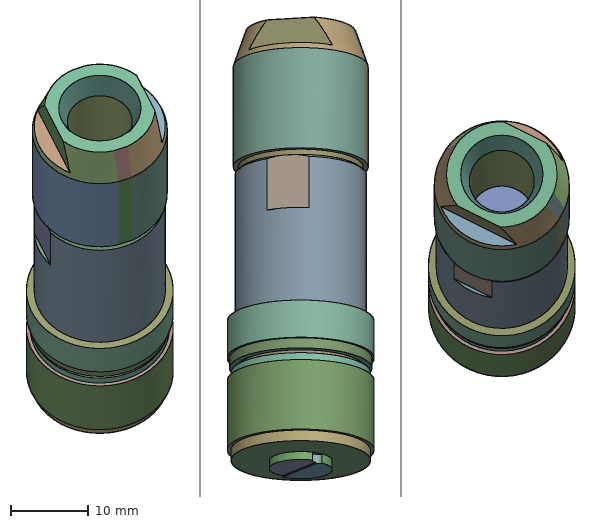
import cadquery as cq
import math

insert_end_z = 0.0
ring_bottom_z = 1.25
ring_grip_bottom_z = 2.65
ring_grip_top_z = 12.05
ring_top_z = 13.1
collar_bottom_z = 13.7
collar_step_z = 15.05
collar_top_z = 20.05
barrel_flat_z = 32.85
barrel_chamfer_z = 39.75
barrel_top_z = 40.1
nut_bottom_z = 40.8
nut_cone_z = 54.35
top_z = 59.0

grip_radius = 9.5
ring_end_radius = 9.0
insert_radius = 4.1
neck_radius = 8.3
collar_step_radius = 9.2
barrel_radius = 8.5
groove_radius = 8.1
nut_radius = 8.75
nut_top_radius = 7.15
cable_hole_radius = 4.2
cable_mouth_radius = 5.3

barrel_flat_y = 8.0
nut_flat_y = 6.45
nut_flat_depth = 3.9
side_strip_width = 1.9
cable_mouth_depth = 2.9
insert_step = 0.2
insert_split_angle = -43.0
keyway_radius = 0.7
keyway_angle = 134.0

cut_size = 2 * grip_radius


def turned(profile):
    """Revolve a closed (radius, height) profile about the Z axis."""
    return cq.Workplane("XZ").polyline(profile).close().revolve(360, (0, 0, 0), (0, 1, 0))


def flat_cutter(distance, bottom_z, height):
    """Two blocks that leave flats at y = -distance and y = +distance."""
    block = cq.Workplane("XY").box(cut_size, cut_size, height, centered=(True, False, False))
    block = block.translate((0, distance, bottom_z))
    return block.union(block.mirror("XZ"))


def side_strip_cutter():
    """Two blocks that leave narrow flat strips along the nut's cylinder and cone."""
    half_width = side_strip_width / 2
    lower_x = math.sqrt(nut_radius**2 - half_width**2)
    upper_x = math.sqrt(nut_top_radius**2 - half_width**2)
    outline = [
        (lower_x, nut_bottom_z),
        (lower_x, nut_cone_z),
        (upper_x, top_z),
        (cut_size, top_z),
        (cut_size, nut_bottom_z),
    ]
    block = cq.Workplane("XZ").polyline(outline).close().extrude(nut_radius, both=True)
    return block.union(block.mirror("YZ"))


def cable_entry():
    """Round cable hole with a tapered mouth, ending level with the nut's lower face."""
    return turned([
        (0, nut_bottom_z),
        (cable_hole_radius, nut_bottom_z),
        (cable_hole_radius, top_z - cable_mouth_depth),
        (cable_mouth_radius, top_z),
        (0, top_z),
    ])


def insert_step_cutter():
    """Shallow block that sets back the +X +Y half of the insert face."""
    block = cq.Workplane("XY").box(cut_size, cut_size, insert_step, centered=(True, False, False))
    return block.rotate((0, 0, 0), (0, 0, 1), insert_split_angle).translate((0, 0, insert_end_z))


def keyway_cutter():
    """Round keyway along the exposed side of the insert, up to the coupling ring."""
    angle = math.radians(keyway_angle)
    center = (insert_radius * math.cos(angle), insert_radius * math.sin(angle), insert_end_z)
    keyway = cq.Workplane("XY").circle(keyway_radius).extrude(ring_bottom_z - insert_end_z)
    return keyway.translate(center)


def make_connector_body():
    """Insert, neck, collar, barrel and gland nut in one piece."""
    body = turned([
        (0, insert_end_z),
        (insert_radius, insert_end_z),
        (insert_radius, ring_top_z),
        (neck_radius, ring_top_z),
        (neck_radius, collar_bottom_z),
        (collar_step_radius, collar_bottom_z),
        (collar_step_radius, collar_step_z),
        (grip_radius, collar_step_z),
        (grip_radius, collar_top_z),
        (barrel_radius, collar_top_z),
        (barrel_radius, barrel_chamfer_z),
        (groove_radius, barrel_top_z),
        (groove_radius, nut_bottom_z),
        (nut_radius, nut_bottom_z),
        (nut_radius, nut_cone_z),
        (nut_top_radius, top_z),
        (0, top_z),
    ])
    body = body.cut(flat_cutter(barrel_flat_y, barrel_flat_z, barrel_top_z - barrel_flat_z))
    body = body.cut(flat_cutter(nut_flat_y, top_z - nut_flat_depth, nut_flat_depth))
    body = body.cut(side_strip_cutter())
    body = body.cut(cable_entry())
    body = body.cut(insert_step_cutter())
    return body.cut(keyway_cutter())


def make_coupling_ring():
    """Stepped ring that turns on the insert."""
    return turned([
        (insert_radius, ring_bottom_z),
        (ring_end_radius, ring_bottom_z),
        (ring_end_radius, ring_grip_bottom_z),
        (grip_radius, ring_grip_bottom_z),
        (grip_radius, ring_grip_top_z),
        (ring_end_radius, ring_grip_top_z),
        (ring_end_radius, ring_top_z),
        (insert_radius, ring_top_z),
    ])


connector_body = make_connector_body()
coupling_ring = make_coupling_ring()
result = cq.Compound.makeCompound([connector_body.val(), coupling_ring.val()])